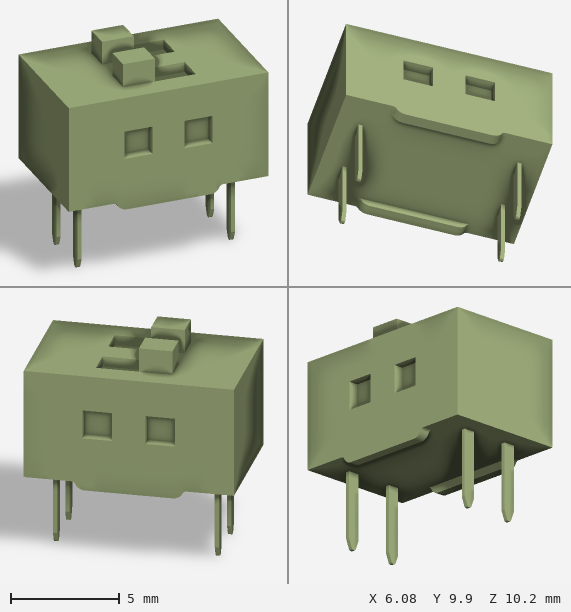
import cadquery as cq
import math


total_height = 10.25

cover_width = 6.08
cover_length = 9.9
cover_height = 5.3
wall = 0.5

foot_flat_length = 4.15
foot_height = 0.4
foot_corner_radius = 0.5
foot_root_radius = 0.2

switch_pitch = 2.54
switch_xs = (-switch_pitch / 2, switch_pitch / 2)

slot_width = 1.35
slot_length = 3.6

window_size = 1.39
window_pitch = 2.97
window_center_z = 2.89

slider_width = 1.28
slider_length = 1.58
slider_top_z = 6.45

pin_row_spacing = 7.62
pin_row_ys = (-pin_row_spacing / 2, pin_row_spacing / 2)
pin_width = 0.59
pin_thickness = 0.19
pin_length = total_height - slider_top_z
pin_tip_length = 0.5
pin_tip_width = 0.2
pin_edge_radius = 0.1

inner_width = cover_width - 2 * wall
inner_length = cover_length - 2 * wall
inner_height = cover_height - wall


def make_foot_pair():
    """Bar across the cover with S-shaped ends, cut away between the side walls."""
    flat_y = foot_flat_length / 2
    arc_centers_distance = foot_corner_radius + foot_root_radius
    corner_center_z = foot_corner_radius - foot_height
    arc_centers_rise = corner_center_z + foot_root_radius
    root_y = flat_y + math.sqrt(arc_centers_distance**2 - arc_centers_rise**2)
    touch_fraction = foot_corner_radius / arc_centers_distance
    touch_y = flat_y + (root_y - flat_y) * touch_fraction
    touch_z = corner_center_z - arc_centers_rise * touch_fraction
    bars = (
        cq.Workplane("YZ")
        .moveTo(-root_y, 0)
        .radiusArc((-touch_y, touch_z), foot_root_radius)
        .radiusArc((-flat_y, -foot_height), -foot_corner_radius)
        .lineTo(flat_y, -foot_height)
        .radiusArc((touch_y, touch_z), -foot_corner_radius)
        .radiusArc((root_y, 0), foot_root_radius)
        .close()
        .extrude(cover_width / 2, both=True)
    )
    gap = cq.Workplane("XY").box(inner_width, cover_length, 2 * foot_height)
    return bars.cut(gap)


def make_cover():
    """Shell with feet, a slot for each slider and two windows in each side wall."""
    cover = cq.Workplane("XY").box(cover_width, cover_length, cover_height, centered=(True, True, False))
    cover = cover.union(make_foot_pair())
    cover = cover.cut(make_base())
    slots = (
        cq.Workplane("XY", origin=(0, 0, inner_height))
        .rarray(switch_pitch, 0.1, len(switch_xs), 1)
        .rect(slot_width, slot_length)
        .extrude(wall)
    )
    windows = (
        cq.Workplane("YZ", origin=(0, 0, window_center_z))
        .rarray(window_pitch, 0.1, 2, 1)
        .rect(window_size, window_size)
        .extrude(cover_width / 2, both=True)
    )
    return cover.cut(slots).cut(windows)


def make_base():
    """Block that fills the inside of the cover and closes the slots and windows from within."""
    return cq.Workplane("XY").box(inner_width, inner_length, inner_height, centered=(True, True, False))


def make_slider(x):
    """Square-edged slider resting on the base, against the -Y end of its slot."""
    return (
        cq.Workplane("XY", origin=(x, (slider_length - slot_length) / 2, inner_height))
        .rect(slider_width, slider_length)
        .extrude(slider_top_z - inner_height)
    )


def make_pin(x, y):
    """Flat pin hanging from the base, with a tapered tip and eased corners."""
    shoulder_z = pin_tip_length - pin_length
    blank = (
        cq.Workplane("XZ", origin=(x, y, 0))
        .polyline([
            (-pin_width / 2, 0),
            (-pin_width / 2, shoulder_z),
            (-pin_tip_width / 2, -pin_length),
            (pin_tip_width / 2, -pin_length),
            (pin_width / 2, shoulder_z),
            (pin_width / 2, 0),
        ])
        .close()
        .extrude(pin_thickness / 2, both=True)
    )
    tip_half = cq.selectors.BoxSelector(
        (x - pin_width, y - pin_width, -2 * pin_length),
        (x + pin_width, y + pin_width, -pin_length / 2),
    )
    return blank.edges("|Y").edges(tip_half).fillet(pin_edge_radius)


cover = make_cover()
base = make_base()
sliders = [make_slider(x) for x in switch_xs]
pins = [make_pin(x, y) for x in switch_xs for y in pin_row_ys]

result = cq.Compound.makeCompound([
    cover.val(),
    base.val(),
    *[slider.val() for slider in sliders],
    *[pin.val() for pin in pins],
])